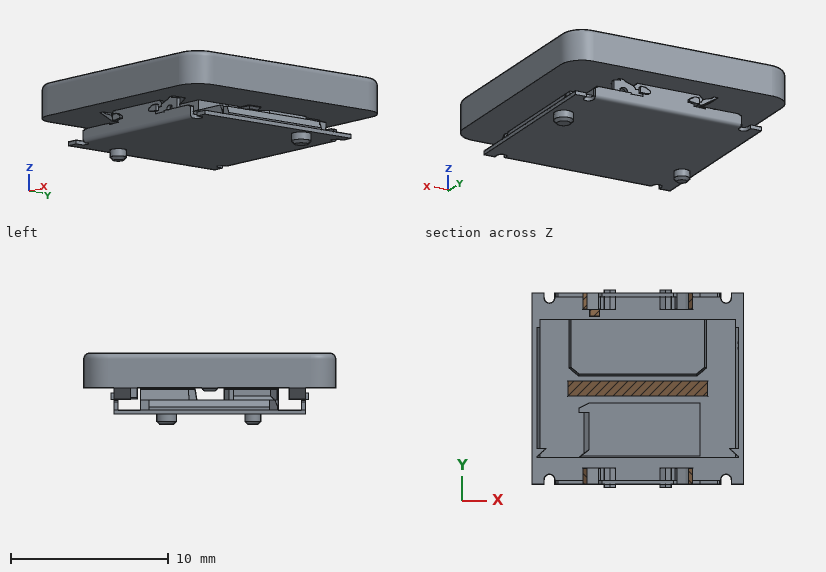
import cadquery as cq


cap_side = 16.0
cap_bottom = 1.66
cap_top = 3.87
cap_corner_radius = 1.55
cap_edge_radius = 0.38

plate_length = 13.44
plate_width = 12.16
sheet = 0.25
bend_radius = 0.24
tab_half_length = 5.28
tab_top = 1.58
tab_shoulder = 0.85
tab_step = 0.77
tab_dip_outer_x = -2.69
tab_dip_inner_x = -1.85
relief_width = 0.65
relief_depth = 0.64
tab_outer_y = plate_width / 2
tab_inner_y = tab_outer_y - sheet

arm_inner_y = 5.04
slope_foot_x = -2.42
slope_foot_z = 0.95
hook_outer_y = 6.27
web_inner_y = 4.6
web_outer_x = -3.05
web_chamfer = 0.11
foot_end = 3.95
foot_bottom = tab_shoulder
foot_window_x = 3.23
foot_window_radius = 0.27

frame_length = 12.77
frame_top_length = 12.42
frame_slope_start = 0.45
frame_top = 0.9
housing_front_y = -4.35
housing_back_y = 4.4
plain_corner_y = 3.87
corner_pocket_y = -3.8
corner_pocket_depth = 0.55
corner_pocket_wall = 0.05
block_top = 1.58
block_half_length = 4.35
block_inner_y = 0.82
block_corner_x = 0.6
block_corner_y = 0.5
block_draft = 9.0

contact_block_inner_y = -0.91
contact_corner_width = 0.32
contact_block_left_x = -3.73
contact_block_right_x = 3.95
front_wall_y = -4.25
ridge_width = 0.2
recess_near_y = -1.52
recess_far_y = -3.87
recess_x = -3.09
ramp_height = 0.24
ramp_run = 0.32
ramp_far_y = -4.15

peg_bottom = -0.65
peg_chamfer = 0.2
peg_x = 5.76
peg_y = 2.74
small_peg_diameter = 1.02
large_peg_diameter = 1.26
pegs = [(-peg_x, -peg_y, small_peg_diameter), (peg_x, peg_y, large_peg_diameter)]

bar_length = 8.93
bar_width = 1.0
bar_height = 0.2
bar_chamfer = 0.16


def slab(x0, x1, y0, y1, z0, z1):
    """Axis-aligned block between the given limits."""
    return cq.Workplane("XY").box(x1 - x0, y1 - y0, z1 - z0, centered=False).translate((x0, y0, z0))


def extrude_y(profile, y0, y1):
    """Extrude a closed XZ profile from y0 to y1."""
    return profile.extrude(-(y1 - y0)).translate((0, y0, 0))


def make_cap():
    body = cq.Workplane("XY").workplane(offset=cap_bottom).rect(cap_side, cap_side)
    body = body.extrude(cap_top - cap_bottom).edges("|Z").fillet(cap_corner_radius)
    return body.faces(">Z").edges().fillet(cap_edge_radius)


def add_hook_tip(sketch):
    """Draw the rounded tip of the hook, from its underside round to the pivot groove."""
    return (
        sketch
        .lineTo(-1.85, 0.91)
        .lineTo(-1.44, 0.98)
        .threePointArc((-1.4, 1.07), (-1.47, 1.17))
        .lineTo(-1.78, 1.33)
        .lineTo(-2.1, 1.35)
        .lineTo(-2.15, 1.15)
    )


def arm_profile():
    """Sloping arm with a pivot groove and a rounded hook tip, for the -X side."""
    underside = cq.Workplane("XZ").moveTo(-3.58, cap_bottom).lineTo(slope_foot_x, slope_foot_z)
    return (
        add_hook_tip(underside)
        .lineTo(-2.37, 1.15)
        .lineTo(-2.5, 1.35)
        .lineTo(-3.05, 1.52)
        .lineTo(-3.28, cap_bottom)
        .close()
    )


def hook_tip_profile():
    """Rounded tip of the arm, beyond the pivot groove."""
    return add_hook_tip(cq.Workplane("XZ").moveTo(-2.15, 0.93)).close()


def foot_profile():
    """Foot that reaches from inside the arm down to the tab, for the +X side, with a half-round window."""
    window_left = foot_window_x - foot_window_radius
    window_right = foot_window_x + foot_window_radius
    return (
        cq.Workplane("XZ")
        .moveTo(3.05, 1.47)
        .lineTo(2.37, 1.04)
        .lineTo(-tab_dip_inner_x, 1.04)
        .lineTo(-tab_dip_inner_x, tab_step)
        .lineTo(-tab_dip_outer_x, tab_step)
        .lineTo(-tab_dip_outer_x, foot_bottom)
        .lineTo(window_left, foot_bottom)
        .threePointArc((foot_window_x, foot_bottom + foot_window_radius), (window_right, foot_bottom))
        .lineTo(foot_end, foot_bottom)
        .lineTo(foot_end, 1.5)
        .lineTo(3.45, 1.58)
        .close()
    )


def make_arm(x_side, y_side):
    """Arm at one corner; x_side and y_side are -1 or +1."""
    arm = extrude_y(arm_profile(), -tab_outer_y, -arm_inner_y)
    arm = arm.union(extrude_y(hook_tip_profile(), -hook_outer_y, -arm_inner_y))
    if x_side > 0:
        arm = arm.mirror("YZ").union(extrude_y(foot_profile(), -tab_outer_y, -tab_inner_y))
    if y_side > 0:
        arm = arm.mirror("XZ")
    if x_side < 0 and y_side > 0:
        web = slab(web_outer_x, slope_foot_x, web_inner_y, arm_inner_y, slope_foot_z, cap_bottom)
        arm = arm.union(web.edges("<X and <Z").chamfer(web_chamfer))
    return arm


def make_tab():
    """Bent-up tab at the -Y edge, before the arms are cleared out of it."""
    half_outline = [
        (-tab_half_length, 0),
        (-tab_half_length, tab_step),
        (-5.18, tab_step),
        (-5.05, tab_shoulder),
        (tab_dip_outer_x, tab_shoulder),
        (tab_dip_outer_x, tab_step),
        (tab_dip_inner_x, tab_step),
        (tab_dip_inner_x, slope_foot_z),
        (-2.34, 1.12),
        (-2.5, 1.35),
        (-2.25, tab_top),
    ]
    other_half = [(-x, z) for x, z in reversed(half_outline)]
    profile = cq.Workplane("XZ").polyline(half_outline + other_half).close()
    tab = extrude_y(profile, -tab_outer_y, -tab_inner_y)
    return tab.faces("<Z").edges("<Y").fillet(bend_radius)


def make_plate(arms):
    plate = slab(-plate_length / 2, plate_length / 2, -tab_outer_y, tab_outer_y, 0, sheet)
    tab = make_tab()
    relief_x = tab_half_length + relief_width / 2
    for y_side in (-1, 1):
        edge_y = y_side * tab_outer_y
        strip = slab(-tab_half_length, tab_half_length, -tab_outer_y, -tab_inner_y, 0, sheet)
        plate = plate.cut(strip if y_side < 0 else strip.mirror("XZ"))
        plate = plate.union(tab if y_side < 0 else tab.mirror("XZ"))
        slots = cq.Workplane("XY").pushPoints([(-relief_x, edge_y), (relief_x, edge_y)])
        plate = plate.cut(slots.slot2D(2 * relief_depth, relief_width, 90).extrude(sheet))
    for x, y, diameter in pegs:
        plate = plate.cut(cq.Workplane("XY").center(x, y).circle(diameter / 2).extrude(sheet))
    for arm in arms:
        plate = plate.cut(arm)
    return plate


def make_frame():
    """Low base of the housing, with sloped ends, plain +Y corners and pocketed -Y corners."""
    corner_x = frame_top_length / 2
    frame = slab(-corner_x, corner_x, housing_front_y, housing_back_y, sheet, frame_top)
    end_x = frame_length / 2
    slope = (
        cq.Workplane("XZ")
        .polyline([
            (-end_x, sheet),
            (-end_x, frame_slope_start),
            (-corner_x, frame_top),
            (corner_x, frame_top),
            (end_x, frame_slope_start),
            (end_x, sheet),
        ])
        .close()
    )
    frame = frame.union(extrude_y(slope, housing_front_y, plain_corner_y))
    pocket = (
        cq.Workplane("XY")
        .workplane(offset=sheet)
        .polyline([
            (-end_x, housing_front_y + corner_pocket_wall),
            (-end_x, corner_pocket_y),
            (-end_x + corner_pocket_depth, corner_pocket_y),
        ])
        .close()
        .extrude(frame_top - sheet)
    )
    return frame.cut(pocket).cut(pocket.mirror("YZ"))


def make_block():
    """Upper block on the +Y half, with cut corners, leaning walls and a plumb +Y side."""
    x = block_half_length
    y = block_inner_y
    far_y = housing_back_y + block_top
    outline = [
        (-x, far_y),
        (-x, y + block_corner_y),
        (-x + block_corner_x, y),
        (x - block_corner_x, y),
        (x, y + block_corner_y),
        (x, far_y),
    ]
    block = cq.Workplane("XY").workplane(offset=frame_top).polyline(outline).close()
    block = block.extrude(block_top - frame_top, taper=block_draft)
    return block.cut(slab(-x, x, housing_back_y, far_y, frame_top, block_top))


def make_contact_block():
    """Block on the -Y half of the frame; its -X end is a recess between a ridge and a slanted corner."""
    x = contact_block_left_x
    outline = [
        (recess_x, contact_block_inner_y),
        (x, contact_block_inner_y - contact_corner_width),
        (x, recess_near_y),
        (recess_x, recess_near_y),
        (recess_x, recess_far_y),
        (x, housing_front_y),
        (x + ridge_width, front_wall_y),
        (contact_block_right_x, front_wall_y),
        (contact_block_right_x, contact_block_inner_y),
    ]
    block = cq.Workplane("XY").workplane(offset=frame_top).polyline(outline).close()
    block = block.extrude(block_top - frame_top)
    ramp = (
        cq.Workplane("XZ")
        .polyline([
            (recess_x - ramp_run, frame_top),
            (recess_x, frame_top),
            (recess_x, frame_top + ramp_height),
        ])
        .close()
    )
    return block.union(extrude_y(ramp, ramp_far_y, recess_near_y))


def make_peg(x, y, diameter):
    peg = cq.Workplane("XY").workplane(offset=peg_bottom).center(x, y).circle(diameter / 2)
    return peg.extrude(sheet - peg_bottom).faces("<Z").chamfer(peg_chamfer)


def make_housing():
    housing = make_frame().union(make_block())
    for x, y, diameter in pegs:
        housing = housing.union(make_peg(x, y, diameter))
    return housing


def make_bar():
    bar = cq.Workplane("XY").workplane(offset=cap_bottom - bar_height).rect(bar_length, bar_width)
    return bar.extrude(bar_height).faces("<Z").chamfer(bar_chamfer)


cap = make_cap()
arms = [make_arm(x_side, y_side) for x_side in (-1, 1) for y_side in (-1, 1)]
plate = make_plate(arms)
housing = make_housing()
contact_block = make_contact_block()
bar = make_bar()

bodies = [cap, plate, housing, contact_block, bar, *arms]
result = cq.Compound.makeCompound([body.solids().val() for body in bodies])